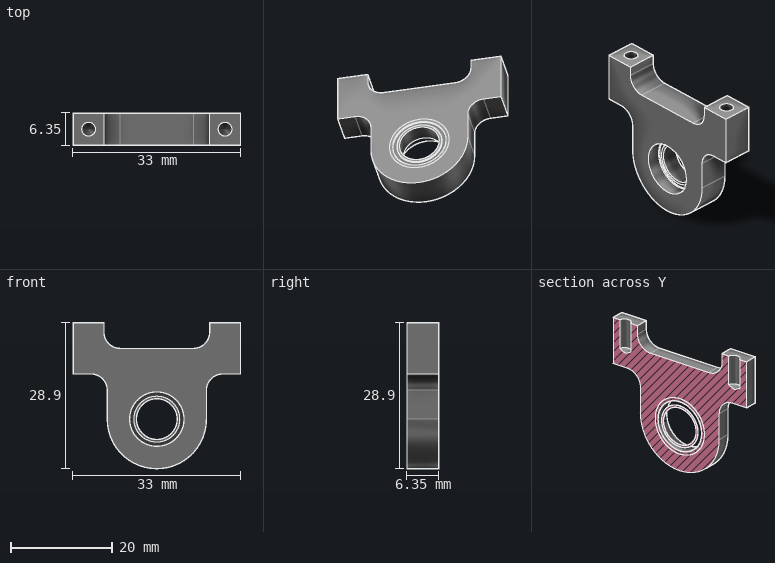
import cadquery as cq
import math

WIDTH = 33.02
THICKNESS = 6.35
HEIGHT = 28.85
LOBE_RADIUS = 9.8
CORNER_RADIUS = 3.17

ARM_HEIGHT = 10.17
ARM_WIDTH = 6.1
NOTCH_DEPTH = 5.1

DRILL_RADIUS = 1.35
DRILL_DEPTH = 6.27
DRILL_POINT_ANGLE = 118.0

BEARING_WIDTH = 3.5
BEARING_OUTER_RADIUS = 6.0
BEARING_BORE_RADIUS = 4.0
INNER_RING_RADIUS = 4.52
SHIELD_RADIUS = 5.38
SHIELD_RECESS = 0.33
LIP_RADIUS = 5.35
BEARING_FRONT = THICKNESS - BEARING_WIDTH

HALF_WIDTH = WIDTH / 2
TOP = HEIGHT - LOBE_RADIUS
ARM_BOTTOM = TOP - ARM_HEIGHT
NOTCH_FLOOR = TOP - NOTCH_DEPTH
NOTCH_HALF_WIDTH = HALF_WIDTH - ARM_WIDTH


def cylinder_along_y(radius, start, end):
    """Cylinder on the bore axis between two Y positions."""
    axis = cq.Vector(0, 1, 0)
    return cq.Workplane(cq.Solid.makeCylinder(radius, end - start, cq.Vector(0, start, 0), axis))


def make_plate():
    """Round-ended plate with two arms and filleted inside corners."""
    plate = (
        cq.Workplane("XZ")
        .moveTo(-LOBE_RADIUS, 0)
        .lineTo(-LOBE_RADIUS, ARM_BOTTOM)
        .lineTo(-HALF_WIDTH, ARM_BOTTOM)
        .lineTo(-HALF_WIDTH, TOP)
        .lineTo(-NOTCH_HALF_WIDTH, TOP)
        .lineTo(-NOTCH_HALF_WIDTH, NOTCH_FLOOR)
        .lineTo(NOTCH_HALF_WIDTH, NOTCH_FLOOR)
        .lineTo(NOTCH_HALF_WIDTH, TOP)
        .lineTo(HALF_WIDTH, TOP)
        .lineTo(HALF_WIDTH, ARM_BOTTOM)
        .lineTo(LOBE_RADIUS, ARM_BOTTOM)
        .lineTo(LOBE_RADIUS, 0)
        .threePointArc((0, -LOBE_RADIUS), (-LOBE_RADIUS, 0))
        .close()
        .extrude(-THICKNESS)
    )
    inside_corners = [
        (side * x, THICKNESS / 2, z)
        for side in (-1, 1)
        for x, z in ((LOBE_RADIUS, ARM_BOTTOM), (NOTCH_HALF_WIDTH, NOTCH_FLOOR))
    ]
    for corner in inside_corners:
        plate = plate.edges(cq.selectors.NearestToPointSelector(corner)).fillet(CORNER_RADIUS)
    return plate


def make_drill_hole(x):
    """Blind hole with a conical tip, drilled down from an arm top."""
    tip_length = DRILL_RADIUS / math.tan(math.radians(DRILL_POINT_ANGLE / 2))
    floor = TOP - DRILL_DEPTH
    return (
        cq.Workplane("XZ")
        .moveTo(0, TOP)
        .lineTo(DRILL_RADIUS, TOP)
        .lineTo(DRILL_RADIUS, floor)
        .lineTo(0, floor - tip_length)
        .close()
        .revolve(360, (0, 0), (0, 1))
        .translate((x, THICKNESS / 2, 0))
    )


def make_housing():
    """Plate with the lipped bearing seat and the two arm holes."""
    housing = make_plate()
    housing = housing.cut(cylinder_along_y(LIP_RADIUS, 0, BEARING_FRONT))
    housing = housing.cut(cylinder_along_y(BEARING_OUTER_RADIUS, BEARING_FRONT, THICKNESS))
    hole_offset = HALF_WIDTH - ARM_WIDTH / 2
    for side in (-1, 1):
        housing = housing.cut(make_drill_hole(side * hole_offset))
    return housing


def make_shield_groove(start):
    """Annular recess between the inner and outer rings, one shield recess deep."""
    end = start + SHIELD_RECESS
    return cylinder_along_y(SHIELD_RADIUS, start, end).cut(cylinder_along_y(INNER_RING_RADIUS, start, end))


def make_bearing():
    """Shielded bearing as one solid, with the same shield recess on both faces."""
    bearing = cylinder_along_y(BEARING_OUTER_RADIUS, BEARING_FRONT, THICKNESS)
    bearing = bearing.cut(cylinder_along_y(BEARING_BORE_RADIUS, BEARING_FRONT, THICKNESS))
    for start in (BEARING_FRONT, THICKNESS - SHIELD_RECESS):
        bearing = bearing.cut(make_shield_groove(start))
    return bearing


housing = make_housing()
bearing = make_bearing()
result = cq.Compound.makeCompound([housing.val(), bearing.val()])